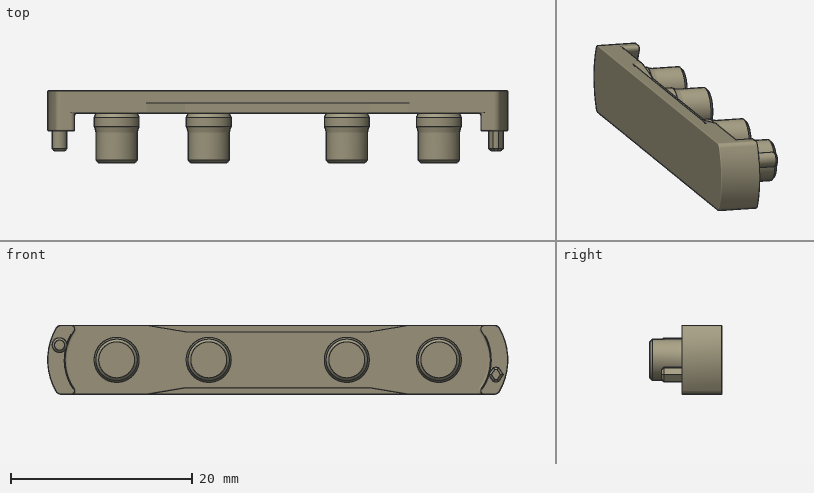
import cadquery as cq
import math

LENGTH = 50.8
HEIGHT = 7.6
PLATE_THICKNESS = 2.5
LIP_DEPTH = 4.4
END_RADIUS = 7.0
CORNER_RADIUS = 0.7
EDGE_RADIUS = 0.1

LIP_WIDTH = 1.95
LIP_INNER_RADIUS = 5.6
LIP_TIP_RADIUS = 0.4
LIP_ROOT_RADIUS = 0.25

STEP_OUTER_HALF_LENGTH = 14.5
STEP_INNER_HALF_LENGTH = 10.2
STEP_INSET = 0.7
STEP_START = 1.35

POST_POSITIONS = (-17.8, -7.6, 7.6, 17.8)
POST_END = 8.0
POST_RADIUS = 2.3
POST_END_CHAMFER = 0.3
COLLAR_RADIUS = 2.5
COLLAR_LEAD = 0.45
COLLAR_RIM_RADIUS = 2.4
COLLAR_END = 1.45
COLLAR_RIM_END = 1.7
TAPER_END = 2.15

PEG_X = 24.1
PEG_Z = 1.65
PEG_RADIUS = 0.8
PEG_END = 6.65
PEG_CHAMFER = 0.25
PEG_ARC_HALF_WIDTH = 0.3

half_length = LENGTH / 2
half_height = HEIGHT / 2
lip_apex = half_length - LIP_WIDTH


def front_plane(depth=0.0):
    """Sketch plane facing -Y, with its x along X and its y along Z."""
    return cq.Workplane("XZ", origin=(0, -depth, 0))


def arc_drop(radius):
    """How far an end arc falls back between mid-height and the long edges."""
    return radius - math.sqrt(radius**2 - half_height**2)


def make_blank():
    shoulder = half_length - arc_drop(END_RADIUS)
    return (
        front_plane()
        .moveTo(-shoulder, -half_height)
        .lineTo(shoulder, -half_height)
        .threePointArc((half_length, 0), (shoulder, half_height))
        .lineTo(-shoulder, half_height)
        .threePointArc((-half_length, 0), (-shoulder, -half_height))
        .close()
        .extrude(LIP_DEPTH)
        .edges("|Y")
        .fillet(CORNER_RADIUS)
    )


def cut_recess(body):
    """Lower the middle to the plate face, leaving a round-tipped lip at each end."""
    tip = lip_apex - arc_drop(LIP_INNER_RADIUS)
    recess = (
        front_plane(PLATE_THICKNESS)
        .moveTo(-tip, -half_height)
        .lineTo(tip, -half_height)
        .threePointArc((lip_apex, 0), (tip, half_height))
        .lineTo(-tip, half_height)
        .threePointArc((-lip_apex, 0), (-tip, -half_height))
        .close()
        .extrude(LIP_DEPTH - PLATE_THICKNESS)
    )
    body = body.cut(recess)
    lip_middle = -(PLATE_THICKNESS + LIP_DEPTH) / 2
    for x in (-tip, tip):
        for z in (-half_height, half_height):
            corner = cq.selectors.NearestToPointSelector((x, lip_middle, z))
            body = body.edges("|Y").edges(corner).fillet(LIP_TIP_RADIUS)
    return body


def make_step():
    """Cutter for the step along the upper edge."""
    return (
        front_plane(STEP_START)
        .moveTo(-STEP_OUTER_HALF_LENGTH, half_height)
        .lineTo(-STEP_INNER_HALF_LENGTH, half_height - STEP_INSET)
        .lineTo(STEP_INNER_HALF_LENGTH, half_height - STEP_INSET)
        .lineTo(STEP_OUTER_HALF_LENGTH, half_height)
        .close()
        .extrude(PLATE_THICKNESS - STEP_START)
    )


def round_outline(body):
    """Ease the outline of the back, the plate face and the lips, then fill in the lip roots."""
    body = body.faces(">Y or <Y").edges().fillet(EDGE_RADIUS)
    floor_middle = cq.selectors.NearestToPointSelector((0, -PLATE_THICKNESS, 0))
    body = body.faces(floor_middle).edges("#Y").edges("%LINE").fillet(EDGE_RADIUS)
    for x in (-lip_apex, lip_apex):
        root = cq.selectors.NearestToPointSelector((x, -PLATE_THICKNESS, 0))
        body = body.edges(root).fillet(LIP_ROOT_RADIUS)
    return body


def make_post(x):
    length = POST_END - PLATE_THICKNESS
    return (
        cq.Workplane("XY", origin=(x, -PLATE_THICKNESS, 0))
        .lineTo(POST_RADIUS, 0)
        .lineTo(COLLAR_RADIUS, -COLLAR_LEAD)
        .lineTo(COLLAR_RADIUS, -COLLAR_END)
        .lineTo(COLLAR_RIM_RADIUS, -COLLAR_RIM_END)
        .lineTo(POST_RADIUS, -TAPER_END)
        .lineTo(POST_RADIUS, -length + POST_END_CHAMFER)
        .lineTo(POST_RADIUS - POST_END_CHAMFER, -length)
        .lineTo(0, -length)
        .close()
        .revolve(360, (0, 0, 0), (0, 1, 0))
    )


def make_round_peg():
    return (
        front_plane(PLATE_THICKNESS)
        .center(-PEG_X, PEG_Z)
        .circle(PEG_RADIUS)
        .extrude(PEG_END - PLATE_THICKNESS)
        .faces("<Y")
        .chamfer(PEG_CHAMFER)
    )


def make_flattened_peg():
    """Round above and below, two flats meeting at a corner on each side."""
    x = PEG_ARC_HALF_WIDTH
    z = math.sqrt(PEG_RADIUS**2 - x**2)
    return (
        front_plane(PLATE_THICKNESS)
        .center(PEG_X, -PEG_Z)
        .moveTo(-x, z)
        .threePointArc((0, PEG_RADIUS), (x, z))
        .lineTo(PEG_RADIUS, 0)
        .lineTo(x, -z)
        .threePointArc((0, -PEG_RADIUS), (-x, -z))
        .lineTo(-PEG_RADIUS, 0)
        .close()
        .extrude(PEG_END - PLATE_THICKNESS)
        .faces("<Y")
        .chamfer(PEG_CHAMFER)
    )


result = cut_recess(make_blank())
upper_step = make_step()
result = result.cut(upper_step).cut(upper_step.mirror("XY"))
result = round_outline(result)
for post_x in POST_POSITIONS:
    result = result.union(make_post(post_x))
result = result.union(make_round_peg()).union(make_flattened_peg())